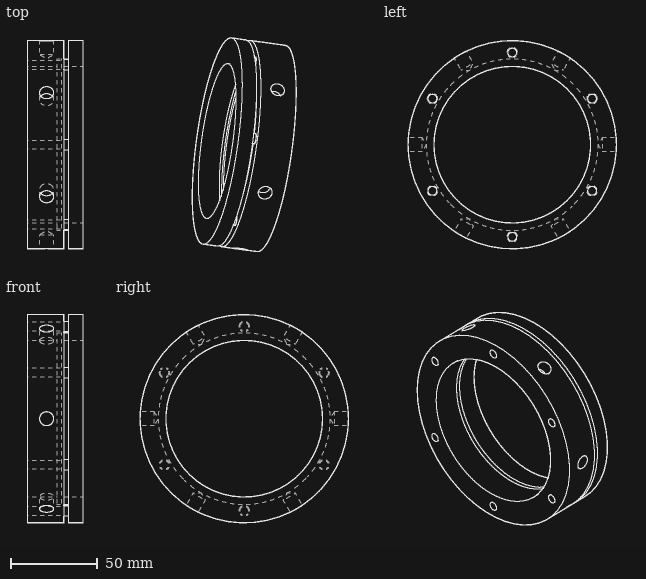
import cadquery as cq
import math

outer_diameter = 120.0
bore_diameter = 90.0
body_length = 21.0
groove_width = 2.5
flange_length = 8.5
neck_length = 1.3
groove_diameter = 98.9

total_length = body_length + groove_width + flange_length
inner_groove_start = body_length - neck_length - groove_width

feature_count = 6
step_angle = 360.0 / feature_count

axial_hole_diameter = 5.0
pin_circle_diameter = 106.1
pin_diameter = 6.0

radial_hole_diameter = 8.0
radial_hole_x = 11.0
radial_hole_depth = 8.2
drill_point_angle = 118.0


def cylinder_along_x(diameter, start_x, length):
    """Solid cylinder on the X axis."""
    return cq.Workplane("YZ", origin=(start_x, 0, 0)).circle(diameter / 2).extrude(length)


def tube_along_x(outside, inside, start_x, length):
    """Hollow cylinder on the X axis."""
    return cylinder_along_x(outside, start_x, length).cut(cylinder_along_x(inside, start_x, length))


def rod_on_pin_circle(diameter, start_x, length, index):
    """Cylinder parallel to X on the pin circle; index 0 sits at +Z."""
    rod = cylinder_along_x(diameter, start_x, length).translate((0, 0, pin_circle_diameter / 2))
    return rod.rotate((0, 0, 0), (1, 0, 0), index * step_angle)


def radial_drill(index):
    """Drill shape with a conical point, aimed at the axis; index 0 enters at -Y."""
    hole_radius = radial_hole_diameter / 2
    outer_radius = outer_diameter / 2
    shoulder_y = radial_hole_depth - outer_radius
    tip_y = shoulder_y + hole_radius / math.tan(math.radians(drill_point_angle / 2))
    profile = (
        cq.Workplane("XY")
        .moveTo(0, -outer_radius)
        .lineTo(hole_radius, -outer_radius)
        .lineTo(hole_radius, shoulder_y)
        .lineTo(0, tip_y)
        .close()
    )
    drill = profile.revolve(360, (0, 0, 0), (0, 1, 0)).translate((radial_hole_x, 0, 0))
    return drill.rotate((0, 0, 0), (1, 0, 0), index * step_angle)


def make_housing():
    """Ring with an outer groove, an inner groove, and axial and radial holes."""
    housing = tube_along_x(outer_diameter, bore_diameter, 0, total_length)
    housing = housing.cut(tube_along_x(outer_diameter, groove_diameter, body_length, groove_width))
    housing = housing.cut(cylinder_along_x(groove_diameter, inner_groove_start, groove_width))
    for index in range(feature_count):
        housing = housing.cut(rod_on_pin_circle(axial_hole_diameter, 0, body_length, index))
        housing = housing.cut(radial_drill(index))
    return housing


def make_pin(index):
    """Short spacer pin bridging the outer groove, in line with an axial hole."""
    return rod_on_pin_circle(pin_diameter, body_length, groove_width, index)


housing = make_housing()
pins = [make_pin(index) for index in range(feature_count)]

result = cq.Compound.makeCompound([housing.solids().val(), *[pin.val() for pin in pins]])